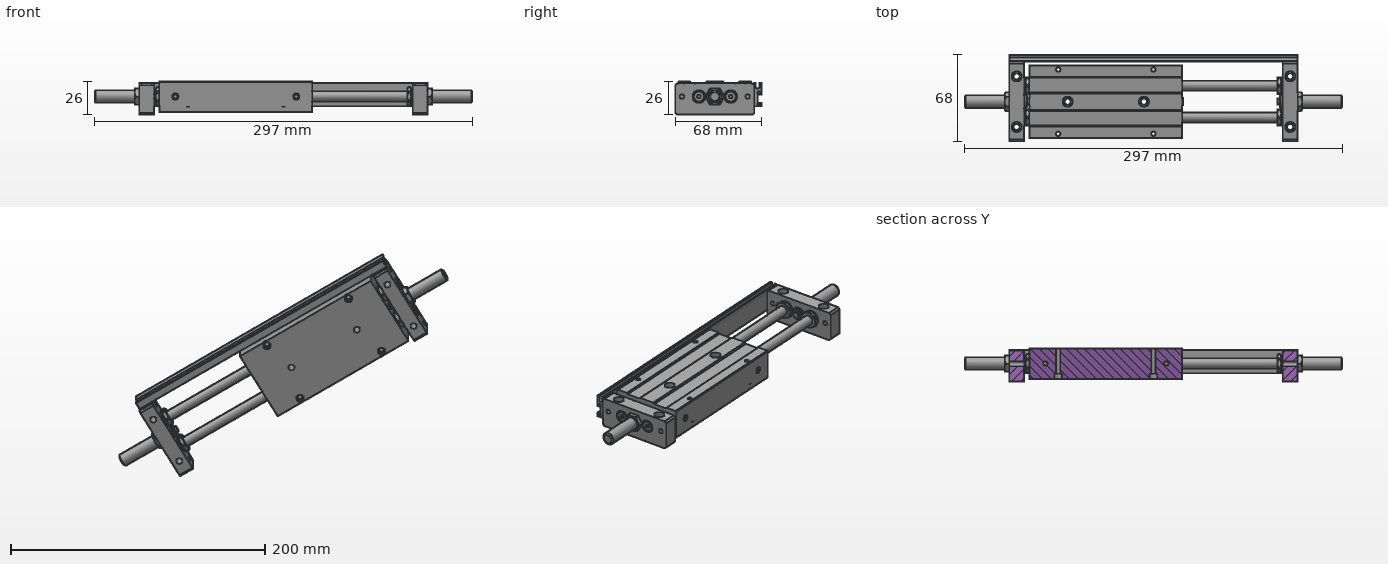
import cadquery as cq
import math

overall_length = 297.0
overall_width = 68.0
overall_height = 26.0

plate_width = 62.5
plate_height = 24.7
plate_thickness = 12.0
plate_chamfer = 1.5
plate_outer_x = 113.5
plate_inner_x = plate_outer_x - plate_thickness
plate_min_y = -overall_width / 2
plate_max_y = plate_min_y + plate_width
plate_min_z = -overall_height / 2
center_y = (plate_min_y + plate_max_y) / 2
axis_z = 1.2

mount_hole_diameter = 4.8
mount_bore_diameter = 8.0
mount_bore_depth = 4.5
plate_mount_offset = 20.0
plate_side_hole_diameter = 3.5
plate_side_hole_offset = 25.8

rod_diameter = 8.0
rod_offset = 12.5
rod_recess_diameter = 10.0
rod_recess_depth = 1.2
rod_socket_size = 2.7
rod_socket_depth = 2.5

hexagon_half_angle = math.radians(30)
nut_size = 13.0
rod_nut_length = 4.2
rod_nut_face_length = 1.2
stop_nut_length = 3.5
nut_bevel_ratio = 1.2

screw_diameter = 10.0
screw_outer_chamfer_length = 1.0
screw_outer_diameter = 7.0
screw_inner_reach = 2.5
screw_inner_chamfer = 1.0
screw_pin_diameter = 5.0

slide_length = 120.0
slide_width = 57.5
slide_height = 24.0
slide_edge_chamfer = 0.5
slide_min_x = rod_nut_length - plate_inner_x
slide_center_x = slide_min_x + slide_length / 2
slide_max_x = slide_min_x + slide_length
slide_max_z = overall_height / 2
slide_min_z = slide_max_z - slide_height
channel_depth = 1.0
channel_inner_y = 6.2
channel_outer_y = 19.5
channel_inner_flank = 1.2
channel_outer_flank = 1.0
slide_mount_offset = 30.0
slide_pin_hole_diameter = 3.3
slide_pin_bore_diameter = 6.0
slide_pin_bore_depth = 4.2
slide_pin_hole_x = 37.5
slide_pin_hole_y = 25.2
port_diameter = 5.0
port_depth = 1.5
port_thread_diameter = 3.3
port_thread_depth = 6.0
port_offset = 47.5
bumper_diameter = 6.0
bumper_length = 1.0

rail_max_y = overall_width / 2
rail_max_z = 12.0
rail_end_inset = 0.15
rail_half_length = plate_outer_x - rail_end_inset
rail_min_z = -6.5
rail_lip_thickness = 1.8
rail_valley_diameter = 3.0
rail_valley_z = 9.0
rail_slot_depth = 3.0
rail_slot_max_z = 2.7
rail_slot_min_z = -3.5
rail_hole_diameter = 2.0
rail_hole_inset = 2.5
rail_hole_heights = (4.2, -5.0)

rod_positions = [center_y - rod_offset, center_y + rod_offset]


def x_cylinder(diameter, x_start, x_end, y, z):
    """Cylinder along X."""
    start = cq.Workplane("YZ", origin=(x_start, y, z))
    return start.circle(diameter / 2).extrude(x_end - x_start)


def hex_nut(length, corner_angle, bevel_both_ends):
    """Hexagon nut along +X from the origin, bevelled at its far end or at both ends."""
    flat_radius = nut_size / 2
    corner_radius = flat_radius / math.cos(hexagon_half_angle)
    bevel_length = (corner_radius - flat_radius) * nut_bevel_ratio
    prism = cq.Workplane("YZ").polygon(6, 2 * corner_radius).extrude(length)
    prism = prism.rotate((0, 0, 0), (1, 0, 0), corner_angle)
    profile = cq.Workplane("XY")
    if bevel_both_ends:
        profile = profile.lineTo(0, flat_radius).lineTo(bevel_length, corner_radius)
    else:
        profile = profile.lineTo(0, corner_radius)
    profile = profile.lineTo(length - bevel_length, corner_radius).lineTo(length, flat_radius)
    envelope = profile.lineTo(length, 0).close().revolve(360, (0, 0, 0), (1, 0, 0))
    return prism.intersect(envelope)


def counterbored_hole(x, y, z_top):
    """Cutter for a vertical through hole with a counterbore from the top."""
    top = cq.Workplane("XY", origin=(x, y, z_top))
    bore = top.circle(mount_bore_diameter / 2).extrude(-mount_bore_depth)
    return bore.union(top.circle(mount_hole_diameter / 2).extrude(-overall_height))


def end_plate():
    """Right end plate with its rod seats, mounting holes and stop screw hole."""
    plate = cq.Workplane("XY").box(plate_thickness, plate_width, plate_height, centered=False)
    plate = plate.translate((plate_inner_x, plate_min_y, plate_min_z))
    plate = plate.edges("|X").chamfer(plate_chamfer)
    middle_x = plate_inner_x + plate_thickness / 2
    for side in (-1, 1):
        mount_y = center_y + side * plate_mount_offset
        plate = plate.cut(counterbored_hole(middle_x, mount_y, plate_min_z + plate_height))
        side_hole_y = center_y + side * plate_side_hole_offset
        plate = plate.cut(
            x_cylinder(plate_side_hole_diameter, plate_inner_x, plate_outer_x, side_hole_y, axis_z)
        )
    for y in rod_positions:
        recess_x = plate_outer_x - rod_recess_depth
        plate = plate.cut(x_cylinder(rod_recess_diameter, recess_x, plate_outer_x, y, axis_z))
    return plate.cut(x_cylinder(screw_diameter, plate_inner_x, plate_outer_x, center_y, axis_z))


def rod_nut():
    """Nut with a round bearing face, on the inner side of the right end plate."""
    face = x_cylinder(nut_size, -rod_nut_face_length, 0, 0, 0)
    hexagon = hex_nut(rod_nut_length - rod_nut_face_length, 90, True)
    hexagon = hexagon.translate((-rod_nut_length, 0, 0))
    return face.union(hexagon).translate((plate_inner_x, 0, axis_z))


def sensor_rail():
    """Slotted rail that joins the two end plates along their +Y ends."""
    valley_radius = rail_valley_diameter / 2
    lip_y = rail_max_y - rail_lip_thickness
    valley_y = lip_y - rail_valley_diameter
    valley_bottom = (valley_y + valley_radius, rail_valley_z - valley_radius)
    slot_y = rail_max_y - rail_slot_depth
    rail = (
        cq.Workplane("YZ", origin=(-rail_half_length, 0, 0))
        .moveTo(plate_max_y, rail_min_z)
        .lineTo(plate_max_y, rail_max_z)
        .lineTo(valley_y, rail_max_z)
        .lineTo(valley_y, rail_valley_z)
        .threePointArc(valley_bottom, (lip_y, rail_valley_z))
        .lineTo(lip_y, rail_max_z)
        .lineTo(rail_max_y, rail_max_z)
        .lineTo(rail_max_y, rail_slot_max_z)
        .lineTo(slot_y, rail_slot_max_z)
        .lineTo(slot_y, rail_slot_min_z)
        .lineTo(rail_max_y, rail_slot_min_z)
        .lineTo(rail_max_y, rail_min_z)
        .close()
        .extrude(2 * rail_half_length)
    )
    for z in rail_hole_heights:
        hole_y = rail_max_y - rail_hole_inset
        rail = rail.cut(x_cylinder(rail_hole_diameter, -rail_half_length, rail_half_length, hole_y, z))
    return rail


def build_frame():
    """End plates, guide rods with their nuts, and sensor rail as one body."""
    right_end = end_plate()
    for y in rod_positions:
        right_end = right_end.union(rod_nut().translate((0, y, 0)))
    frame = sensor_rail().union(right_end).union(right_end.mirror("YZ"))
    for y in rod_positions:
        frame = frame.union(x_cylinder(rod_diameter, -plate_outer_x, plate_outer_x, y, axis_z))
        for side in (-1, 1):
            socket = cq.Workplane("YZ", origin=(side * plate_outer_x, y, axis_z))
            socket = socket.polygon(6, rod_socket_size / math.cos(hexagon_half_angle))
            frame = frame.cut(socket.extrude(-side * rod_socket_depth))
    return frame


def build_slide():
    """Slide block that runs on the two guide rods."""
    half_width = slide_width / 2
    block = cq.Workplane("XY").box(slide_length, slide_width, slide_height, centered=(True, True, False))
    block = block.translate((slide_center_x, center_y, slide_min_z))
    block = block.faces(">Z").edges("|X").chamfer(slide_edge_chamfer)
    for side in (-1, 1):
        channel = (
            cq.Workplane("YZ", origin=(slide_min_x, center_y, slide_max_z))
            .moveTo(side * channel_inner_y, 0)
            .lineTo(side * (channel_inner_y + channel_inner_flank), -channel_depth)
            .lineTo(side * (channel_outer_y - channel_outer_flank), -channel_depth)
            .lineTo(side * channel_outer_y, 0)
            .close()
            .extrude(slide_length)
        )
        block = block.cut(channel)

    for side in (-1, 1):
        mount_x = slide_center_x + side * slide_mount_offset
        block = block.cut(counterbored_hole(mount_x, center_y, slide_max_z))
        for y_side in (-1, 1):
            pin_x = slide_center_x + side * slide_pin_hole_x
            pin_y = center_y + y_side * slide_pin_hole_y
            pin_hole = cq.Workplane("XY", origin=(pin_x, pin_y, slide_min_z))
            block = block.cut(pin_hole.circle(slide_pin_hole_diameter / 2).extrude(slide_height))
            block = block.cut(pin_hole.circle(slide_pin_bore_diameter / 2).extrude(slide_pin_bore_depth))
        port_x = slide_center_x + side * port_offset
        port = cq.Workplane("XZ", origin=(port_x, center_y - half_width, axis_z))
        block = block.cut(port.circle(port_diameter / 2).extrude(-port_depth))
        block = block.cut(port.circle(port_thread_diameter / 2).extrude(-port_thread_depth))

    for y in rod_positions:
        block = block.cut(x_cylinder(rod_diameter, slide_min_x, slide_max_x, y, axis_z))
    bumper = x_cylinder(bumper_diameter, slide_max_x, slide_max_x + bumper_length, center_y, axis_z)
    return block.union(bumper)


def build_stop_screw(side):
    """Stop screw with its lock nut; side is +1 for the right end and -1 for the left."""
    thread_inner_x = plate_inner_x - screw_inner_reach
    outer_x = overall_length / 2
    thread_radius = screw_diameter / 2
    inner_radius = thread_radius - screw_inner_chamfer
    half_profile = (
        cq.Workplane("XY")
        .moveTo(thread_inner_x, 0)
        .lineTo(thread_inner_x, inner_radius)
        .lineTo(thread_inner_x + screw_inner_chamfer, thread_radius)
        .lineTo(outer_x - screw_outer_chamfer_length, thread_radius)
        .lineTo(outer_x, screw_outer_diameter / 2)
        .lineTo(outer_x, 0)
        .close()
    )
    screw = half_profile.revolve(360, (0, 0, 0), (1, 0, 0)).translate((0, center_y, axis_z))
    pin_x = plate_inner_x - rod_nut_length
    screw = screw.union(x_cylinder(screw_pin_diameter, pin_x, thread_inner_x, center_y, axis_z))
    nut = hex_nut(stop_nut_length, 0, False)
    screw = screw.union(nut.translate((plate_outer_x, center_y, axis_z)))
    return screw if side > 0 else screw.mirror("YZ")


frame = build_frame()
slide = build_slide()
stop_screws = [build_stop_screw(side) for side in (-1, 1)]

result = cq.Compound.makeCompound([frame.val(), slide.val(), *[screw.val() for screw in stop_screws]])